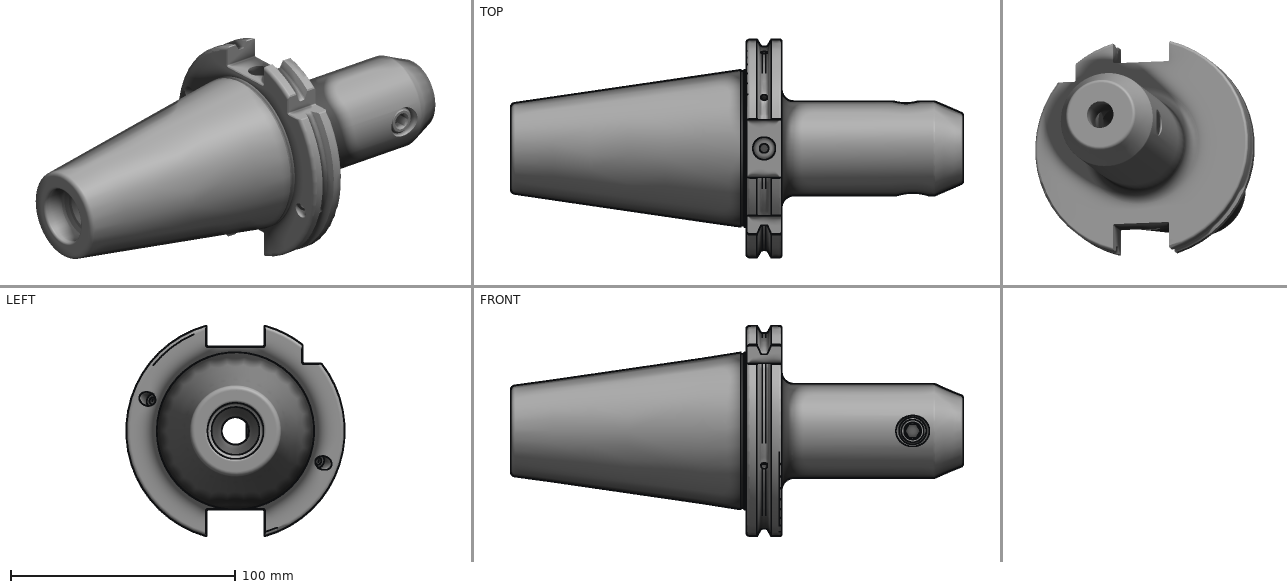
import cadquery as cq
import math


taper_length = 101.7
gauge_radius = 69.8 / 2
taper_slope = 7 / 48
taper_tip_radius = gauge_radius - taper_length * taper_slope
tip_fillet = 2.2
relief_start = 0.8
relief_radius = 34.5
collar_start = 2.0
collar_radius = 35.1
collar_chamfer = 0.6

flange_start = 3.2
flange_end = 19.2
flange_radius = 97.5 / 2
front_fillet = 1.8
rear_fillet = 1.2
groove_center = 11.3
groove_width = 6.5
groove_depth = 3.2
groove_flank_angle = 30
groove_fillet = 1.0

slot_width = 25.6
top_slot_floor = 37.7
bottom_slot_floor = 35.1
notch_offset = 30.0
slot_edge_chamfer = 0.5
slot_corner_fillet = 0.6

shank_end = 100.0
shank_radius = 42.2 / 2
collar_fillet = 5.2
nose_cone_start = 87.2
nose_radius = 15.5
nose_fillet = 1.6
nose_edge_blend = 1.5

mouth_fillet = 1.2
drawbar_radius = 12.5
drawbar_depth = 9.7
undercut_radius = 13.1
undercut_width = 2.0
thread_mouth_radius = 11.7
thread_radius = 10.7
thread_depth = 50.5
drill_half_angle = 59
tool_bore_radius = 6.0

chip_hole_radius = 5.0
chip_hole_depth = 5.0
chip_pilot_radius = 2.0
chip_pilot_depth = 9.0

coolant_angles = (20, 200)
coolant_pitch_radius = 41.8
coolant_radius = 3.0
coolant_tilt = 35
coolant_seat_depth = 4.2
coolant_duct_radius = 1.6
vent_radius = 1.5
vent_angles = (60, *coolant_angles)
vent_depth = 6.0

screw_x = 77.5
screw_radius = 6.0
screw_head_y = -19.2
screw_nose_y = -4.8
screw_chamfer = 1.0
socket_width = 6.0
socket_depth = 5.0
socket_mouth_radius = 3.8
countersink_radius = 7.5
countersink_depth = 3.0
balance_x = 74.5
balance_radius = 5.9
balance_floor = 20.0


def cylinder(radius, start, direction, length):
    return cq.Workplane(cq.Solid.makeCylinder(radius, length, cq.Vector(*start), cq.Vector(*direction)))


def cone(start_radius, end_radius, start, direction, length):
    return cq.Workplane(
        cq.Solid.makeCone(start_radius, end_radius, length, cq.Vector(*start), cq.Vector(*direction))
    )


def revolve_about_x(points):
    return cq.Workplane("XY").polyline(points).close().revolve(360, (0, 0, 0), (1, 0, 0))


def ring_edges(body, x, radius):
    """Circular edges about the tool axis at the given place."""
    reach = 0.02
    selector = cq.selectors.BoxSelector(
        (x - reach, -radius - reach, -radius - reach), (x + reach, radius + reach, radius + reach), True
    )
    return body.edges("%CIRCLE").edges(selector)


def make_taper():
    taper = revolve_about_x(
        [
            (-taper_length, 0),
            (-taper_length, taper_tip_radius),
            (relief_start, gauge_radius + relief_start * taper_slope),
            (relief_start, relief_radius),
            (collar_start, relief_radius),
            (collar_start + collar_chamfer, collar_radius),
            (flange_start, collar_radius),
            (flange_start, 0),
        ]
    )
    return taper.faces("<X").edges().fillet(tip_fillet)


def make_flange_profile():
    """Full round flange with its V groove and rounded rims."""
    half_width = groove_width / 2
    half_floor = half_width - groove_depth * math.tan(math.radians(groove_flank_angle))
    groove_floor = flange_radius - groove_depth
    flange = revolve_about_x(
        [
            (flange_start, 0),
            (flange_start, flange_radius),
            (groove_center - half_width, flange_radius),
            (groove_center - half_floor, groove_floor),
            (groove_center + half_floor, groove_floor),
            (groove_center + half_width, flange_radius),
            (flange_end, flange_radius),
            (flange_end, 0),
        ]
    )
    for side in (-1, 1):
        flange = ring_edges(flange, groove_center + side * half_floor, groove_floor).fillet(groove_fillet)
    flange = flange.faces("<X").edges().fillet(front_fillet)
    return flange.faces(">X").edges().fillet(rear_fillet)


def slot_cutter(y_start, y_end, floor, outward):
    """Slot along X through the rim of the flange, with rounded corners at its floor."""
    depth = flange_radius + 2 - floor
    middle = ((flange_start + flange_end) / 2, (y_start + y_end) / 2, outward * (floor + depth / 2))
    cutter = cq.Workplane("XY", origin=middle).box(flange_end - flange_start, y_end - y_start, depth)
    floor_side = "<Z" if outward > 0 else ">Z"
    return cutter.faces(floor_side).edges("|X").fillet(slot_corner_fillet)


def make_slotted_disc():
    """Plain disc with the drive slots, chamfered where they meet its front face and its rim."""
    disc = cylinder(flange_radius, (flange_start, 0, 0), (1, 0, 0), flange_end - flange_start)
    half_slot = slot_width / 2
    disc = disc.cut(slot_cutter(-half_slot, half_slot, top_slot_floor, 1))
    disc = disc.cut(slot_cutter(-half_slot, half_slot, bottom_slot_floor, -1))
    disc = disc.cut(slot_cutter(-flange_radius - 2, -notch_offset, notch_offset, 1))

    def is_slot_edge(edge):
        on_front = edge.BoundingBox().xmax < flange_start + 0.02
        middle = edge.positionAt(0.5)
        on_rim = math.hypot(middle.y, middle.z) > flange_radius - 0.02
        along_x = edge.BoundingBox().xlen > 0.02 and edge.geomType() == "LINE"
        return (along_x and on_rim) or (on_front and not on_rim)

    slot_edges = [edge for edge in disc.edges().vals() if is_slot_edge(edge)]
    return disc.newObject(slot_edges).chamfer(slot_edge_chamfer)


def make_shank():
    shank = revolve_about_x(
        [
            (flange_end, 0),
            (flange_end, shank_radius + collar_fillet),
            (flange_end + collar_fillet, shank_radius + collar_fillet),
            (flange_end + collar_fillet, shank_radius),
            (nose_cone_start, shank_radius),
            (shank_end, nose_radius),
            (shank_end, 0),
        ]
    )
    fillet_ring = cq.Workplane(
        cq.Solid.makeTorus(
            shank_radius + collar_fillet,
            collar_fillet,
            cq.Vector(flange_end + collar_fillet, 0, 0),
            cq.Vector(1, 0, 0),
        )
    )
    shank = shank.cut(fillet_ring)
    shank = shank.faces(">X").edges().fillet(nose_fillet)
    return ring_edges(shank, nose_cone_start, shank_radius).fillet(nose_edge_blend)


def make_axial_bore():
    tip = -taper_length
    drill_taper = 1 / math.tan(math.radians(drill_half_angle))
    undercut_start = tip + drawbar_depth
    undercut_end = undercut_start + undercut_width
    countersink_end = undercut_end + undercut_radius - thread_mouth_radius
    thread_start = countersink_end + (thread_mouth_radius - thread_radius) * drill_taper
    thread_end = tip + thread_depth
    drill_end = thread_end + (thread_radius - tool_bore_radius) * drill_taper
    return revolve_about_x(
        [
            (tip, 0),
            (tip, drawbar_radius),
            (undercut_start, drawbar_radius),
            (undercut_start, undercut_radius),
            (undercut_end, undercut_radius),
            (countersink_end, thread_mouth_radius),
            (thread_start, thread_radius),
            (thread_end, thread_radius),
            (drill_end, tool_bore_radius),
            (shank_end, tool_bore_radius),
            (shank_end, 0),
        ]
    )


def radial(angle):
    """Outward direction across the tool axis, at an angle from +Y toward +Z."""
    return cq.Vector(0, math.cos(math.radians(angle)), math.sin(math.radians(angle)))


def coolant_hole(angle):
    """Sloping hole from the front face of the flange inward to the plane of the radial holes."""
    tilt = math.radians(coolant_tilt)
    direction = cq.Vector(math.cos(tilt), 0, 0) - radial(angle) * math.sin(tilt)
    entry = cq.Vector(flange_start, 0, 0) + radial(angle) * coolant_pitch_radius
    overrun = coolant_radius * math.tan(tilt)
    start = entry - direction * overrun
    seat = cylinder(coolant_radius, start.toTuple(), direction.toTuple(), coolant_seat_depth + overrun)
    duct_length = (groove_center - flange_start) / math.cos(tilt)
    duct = cylinder(coolant_duct_radius, entry.toTuple(), direction.toTuple(), duct_length)
    return seat.union(duct)


def vent_hole(angle):
    start = cq.Vector(groove_center, 0, 0) + radial(angle) * flange_radius
    return cylinder(vent_radius, start.toTuple(), (-radial(angle)).toTuple(), groove_depth + vent_depth)


def make_holder():
    holder = make_slotted_disc().intersect(make_flange_profile())
    holder = holder.union(make_taper()).union(make_shank()).cut(make_axial_bore())
    holder = ring_edges(holder, -taper_length, drawbar_radius).fillet(mouth_fillet)

    chip_top = (groove_center, 0, top_slot_floor)
    down = (0, 0, -1)
    holder = holder.cut(cylinder(chip_hole_radius, chip_top, down, chip_hole_depth))
    holder = holder.cut(cylinder(chip_pilot_radius, chip_top, down, chip_pilot_depth))

    for angle in coolant_angles:
        holder = holder.cut(coolant_hole(angle))
    for angle in vent_angles:
        holder = holder.cut(vent_hole(angle))

    outside = (screw_x, -shank_radius, 0)
    inward = (0, 1, 0)
    holder = holder.cut(cylinder(screw_radius, outside, inward, shank_radius))
    holder = holder.cut(cone(countersink_radius, screw_radius, outside, inward, countersink_depth))
    holder = holder.cut(cylinder(balance_radius, (balance_x, balance_floor, 0), inward, shank_radius))
    return holder


def make_clamping_screw():
    length = screw_nose_y - screw_head_y
    inward = (0, 1, 0)
    head = (screw_x, screw_head_y, 0)
    screw = cylinder(screw_radius, head, inward, length)
    screw = screw.faces("<Y or >Y").edges().chamfer(screw_chamfer)
    socket = (
        cq.Workplane("XZ", origin=head)
        .polygon(6, socket_width / math.cos(math.radians(30)))
        .extrude(-socket_depth)
    )
    mouth_depth = socket_mouth_radius - socket_width / 2
    mouth = cone(socket_mouth_radius, socket_width / 2, head, inward, mouth_depth)
    return screw.cut(socket).cut(mouth)


holder = make_holder()
clamping_screw = make_clamping_screw()

result = cq.Compound.makeCompound([holder.val(), clamping_screw.val()])